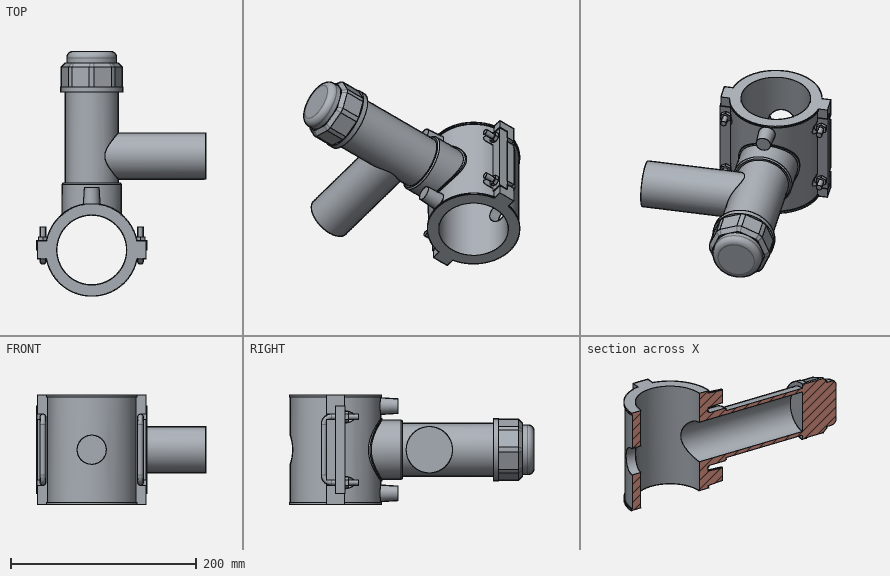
import cadquery as cq
import math

saddle_height = 118.0
bore_radius = 37.5
body_radius = 49.0
lip_radius = 50.0
lip_height = 2.5
tap_hole_diameter = 31.5

ear_half_width = 58.7
ear_thickness = 9.5
plate_half_width = 59.5
plate_thickness = 10.3
plate_height = 94.3

bolt_diameter = 6.0
bolt_x = 52.5
bolt_leg_z = 35.5
bolt_bend_radius = 8.0
bolt_tip_y = 24.8
bolt_back_y = -15.3
hex_across_flats = 10.0
hex_height = 4.0
hex_sides = 6
spotface_diameter = 16.6

peg_z = 47.0
peg_tip_y = 67.6
peg_tip_diameter = 15.9
peg_base_diameter = 18.2

overall_length = 264.2
cap_end_y = overall_length - lip_radius
collar_diameter = 64.2
collar_end_y = 72.5
collar_chamfer = 1.5
weld_diameter = 67.5
weld_radius = 50.2
pipe_diameter = 57.3
pipe_bore_diameter = 47.3

nut_flange_diameter = 67.5
nut_flange_start_y = 170.2
nut_flange_end_y = 176.0
nut_end_y = 202.0
nut_corner_diameter = 66.0
nut_flats_width = 63.0
nut_chamfer = 4.5
nut_sides = 8
cap_diameter = 54.0
cap_crown_diameter = 40.0
cap_fillet = (cap_diameter - cap_crown_diameter) / 2

branch_diameter = 50.0
branch_y = 101.2
branch_end_x = 123.0


def rod_y(diameter, y_start, y_end, x=0, z=0):
    """Cylinder parallel to Y between two Y positions."""
    plane = cq.Plane(origin=(x, y_start, z), xDir=(1, 0, 0), normal=(0, 1, 0))
    return cq.Workplane(plane).circle(diameter / 2).extrude(y_end - y_start)


def rod_z(radius, height, z_centre=0):
    """Cylinder on the saddle axis, centred on a given height."""
    return cq.Workplane("XY").workplane(offset=z_centre - height / 2).circle(radius).extrude(height)


def polygon_y(sides, across_flats, y_start, height, x=0, z=0, turn=0):
    """Regular prism along Y with its first corner turned from the X axis."""
    corner_diameter = across_flats / math.cos(math.pi / sides)
    plane = cq.Plane(origin=(x, y_start, z), xDir=(1, 0, 0), normal=(0, 1, 0))
    return cq.Workplane(plane.rotated((0, 0, turn))).polygon(sides, corner_diameter).extrude(height)


def saddle_body():
    """Clamp shell with end lips, ears and backing plates; the bore is cut later."""
    body = rod_z(body_radius, saddle_height)
    lip_z = (saddle_height - lip_height) / 2
    for side in (-1, 1):
        body = body.union(rod_z(lip_radius, lip_height, side * lip_z))
    ears = cq.Workplane("XY").box(2 * ear_half_width, 2 * ear_thickness, saddle_height)
    plates = cq.Workplane("XY").box(
        2 * plate_half_width, plate_thickness, plate_height, centered=(True, False, True)
    )
    return body.union(ears).union(plates)


def bolt_slot(x_side, z):
    """Open-ended slot from the ear edge to a bolt leg, in the lower half of the ear."""
    length = plate_half_width - bolt_x
    slot = cq.Workplane("XY").box(length, ear_thickness, bolt_diameter)
    slot = slot.translate((x_side * (bolt_x + length / 2), -ear_thickness / 2, z))
    return slot.union(rod_y(bolt_diameter, -ear_thickness, 0, x_side * bolt_x, z))


def u_bolt(x):
    """Round bar bent into a U, its legs pointing to +Y."""
    bar_y = bolt_back_y + bolt_diameter / 2
    bend_y = bar_y + bolt_bend_radius
    bar_z = bolt_leg_z - bolt_bend_radius
    diagonal = bolt_bend_radius * math.sqrt(0.5)
    path = (
        cq.Workplane("YZ", origin=(x, 0, 0))
        .moveTo(bolt_tip_y, -bolt_leg_z)
        .lineTo(bend_y, -bolt_leg_z)
        .threePointArc((bend_y - diagonal, -bar_z - diagonal), (bar_y, -bar_z))
        .lineTo(bar_y, bar_z)
        .threePointArc((bend_y - diagonal, bar_z + diagonal), (bend_y, bolt_leg_z))
        .lineTo(bolt_tip_y, bolt_leg_z)
    )
    section = cq.Workplane("XZ", origin=(x, bolt_tip_y, -bolt_leg_z)).circle(bolt_diameter / 2)
    return section.sweep(path)


def peg(z):
    """Cone frustum rising from inside the saddle wall."""
    taper = (peg_base_diameter - peg_tip_diameter) / (peg_tip_y - body_radius)
    root_diameter = peg_tip_diameter + taper * (peg_tip_y - bore_radius)
    plane = cq.Plane(origin=(0, bore_radius, z), xDir=(1, 0, 0), normal=(0, 1, 0))
    return (
        cq.Workplane(plane)
        .circle(root_diameter / 2)
        .workplane(offset=peg_tip_y - bore_radius)
        .circle(peg_tip_diameter / 2)
        .loft(ruled=True)
    )


def outlet():
    """Collar with its weld ring, and the outlet pipe."""
    collar = rod_y(collar_diameter, 0, collar_end_y).faces(">Y").chamfer(collar_chamfer)
    weld = rod_y(weld_diameter, 0, weld_radius).intersect(rod_z(weld_radius, saddle_height))
    pipe = rod_y(pipe_diameter, 0, nut_flange_end_y)
    return collar.union(weld).union(pipe)


def union_nut():
    """Flanged octagonal nut with rounded corners, and the domed cap in it."""
    flange = rod_y(nut_flange_diameter, nut_flange_start_y, nut_flange_end_y)
    prism_height = nut_end_y - nut_flange_end_y
    prism = polygon_y(nut_sides, nut_flats_width, nut_flange_end_y, prism_height)
    prism = prism.intersect(rod_y(nut_corner_diameter, nut_flange_end_y, nut_end_y))
    prism = prism.faces(">Y").chamfer(nut_chamfer)
    cap = rod_y(cap_diameter, nut_flange_end_y, cap_end_y).faces(">Y").edges().fillet(cap_fillet)
    return flange.union(prism).union(cap)


def branch():
    """Side pipe leaving the outlet pipe towards +X."""
    return cq.Workplane("YZ").center(branch_y, 0).circle(branch_diameter / 2).extrude(branch_end_x)


result = saddle_body()

for side in (-1, 1):
    for leg_z in (-bolt_leg_z, bolt_leg_z):
        spotface = rod_y(spotface_diameter, plate_thickness, body_radius, side * bolt_x, leg_z)
        result = result.cut(spotface).cut(bolt_slot(side, leg_z))

result = result.union(outlet()).union(union_nut()).union(branch())

for z in (-peg_z, peg_z):
    result = result.union(peg(z))

result = result.cut(rod_z(bore_radius, saddle_height))
result = result.cut(rod_y(tap_hole_diameter, -lip_radius, 0))
result = result.cut(rod_y(pipe_bore_diameter, 0, nut_flange_start_y))

for side in (-1, 1):
    x = side * bolt_x
    result = result.union(u_bolt(x))
    for leg_z in (-bolt_leg_z, bolt_leg_z):
        hex_nut = polygon_y(
            hex_sides, hex_across_flats, plate_thickness, hex_height, x, leg_z, turn=90
        )
        result = result.union(hex_nut)